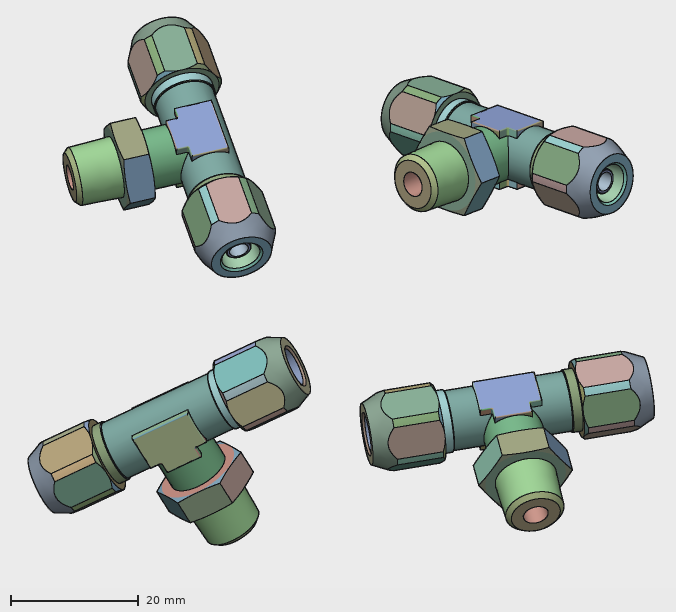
import cadquery as cq
import math


run_half_length = 22.5
pipe_radius = 4.75
collar_radius = 5.0
collar_length = 1.6
collar_chamfer = 0.15
run_bore_radius = 1.55

nut_length = 11.45
nut_across_flats = 12.0
nut_rounded_radius = 6.55
nut_nose_radius = 4.9
nut_nose_length = 3.55
nut_back_chamfer = 0.55

socket_radius = 3.1
socket_depth = 5.4
mouth_chamfer = 0.35
sleeve_setback = 1.5
sleeve_tip_radius = 2.02
sleeve_tip_chamfer = 0.15
sleeve_root_radius = 2.25

hex_across_flats = 13.0
hex_start = 9.45
hex_end = 14.0
hex_face_radius = 6.45
hex_chamfer_angle = 12.0
branch_length = 21.45
thread_root_radius = 4.9
thread_tip_radius = 4.7
thread_chamfer = 0.75
branch_bore_radius = 2.0
drill_point_angle = 118.0

flat_half_height = 4.95
flat_reach = 4.95
flat_arm_half_width = 3.0
flat_edge_fillet = 0.2
flat_inner_corner_radius = 0.22

CIRCUMSCRIBED = 1 / math.cos(math.radians(30))


def revolve_about_x(points):
    return cq.Workplane("XY").polyline(points).close().revolve(360, (0, 0, 0), (1, 0, 0))


def revolve_about_y(points):
    return cq.Workplane("XY").polyline(points).close().revolve(360, (0, 0, 0), (0, 1, 0))


def make_nut():
    """Left-hand nut: a hexagon trimmed to a turned outline with a tapered nose."""
    front = -run_half_length
    back = front + nut_length
    hexagon = (
        cq.Workplane("YZ", origin=(front, 0, 0))
        .polygon(6, nut_across_flats * CIRCUMSCRIBED)
        .extrude(nut_length)
    )
    turned = revolve_about_x([
        (front, 0),
        (front, nut_nose_radius),
        (front + nut_nose_length, nut_rounded_radius),
        (back - nut_back_chamfer, nut_rounded_radius),
        (back, nut_rounded_radius - nut_back_chamfer),
        (back, 0),
    ])
    return hexagon.intersect(turned)


def make_collar():
    """Left-hand collar between nut and pipe."""
    nut_back = -run_half_length + nut_length
    return (
        cq.Workplane("YZ", origin=(nut_back, 0, 0))
        .circle(collar_radius)
        .extrude(collar_length)
        .faces(">X")
        .chamfer(collar_chamfer)
    )


def make_socket():
    """Left-hand annular hose socket, open to the nut face in front of the sleeve."""
    front = -run_half_length
    sleeve_tip = front + sleeve_setback
    floor = front + socket_depth
    return revolve_about_x([
        (front, 0),
        (front, socket_radius + mouth_chamfer),
        (front + mouth_chamfer, socket_radius),
        (floor, socket_radius),
        (floor, sleeve_root_radius),
        (sleeve_tip + sleeve_tip_chamfer, sleeve_tip_radius),
        (sleeve_tip, sleeve_tip_radius - sleeve_tip_chamfer),
        (sleeve_tip, 0),
    ])


def make_branch():
    """Branch neck, wrench hexagon and tapered thread body."""
    neck = cq.Workplane("XZ").circle(pipe_radius).extrude(hex_end)

    corner_diameter = hex_across_flats * CIRCUMSCRIBED
    hexagon = (
        cq.Workplane("XZ", origin=(0, -hex_start, 0))
        .polygon(6, corner_diameter)
        .extrude(hex_end - hex_start)
    )
    corner_radius = corner_diameter / 2
    corner_drop = (corner_radius - hex_face_radius) * math.tan(math.radians(hex_chamfer_angle))
    turned = revolve_about_y([
        (0, -hex_start),
        (hex_face_radius, -hex_start),
        (corner_radius, -hex_start - corner_drop),
        (corner_radius, -hex_end + corner_drop),
        (hex_face_radius, -hex_end),
        (0, -hex_end),
    ])
    thread = revolve_about_y([
        (0, -hex_end),
        (thread_root_radius, -hex_end),
        (thread_tip_radius, -branch_length + thread_chamfer),
        (thread_tip_radius - thread_chamfer, -branch_length),
        (0, -branch_length),
    ])
    return neck.union(hexagon.intersect(turned)).union(thread)


def make_branch_bore():
    """Blind drilled hole crossing the run bore and ending in a drill point."""
    full_bore_end = run_bore_radius
    point_length = branch_bore_radius / math.tan(math.radians(drill_point_angle / 2))
    return revolve_about_y([
        (0, -branch_length),
        (branch_bore_radius, -branch_length),
        (branch_bore_radius, full_bore_end),
        (0, full_bore_end + point_length),
    ])


def make_flats():
    """T-shaped block whose top and bottom stand just proud of the pipes."""
    outline = [
        (-flat_reach, flat_arm_half_width),
        (flat_reach, flat_arm_half_width),
        (flat_reach, -flat_arm_half_width),
        (flat_arm_half_width, -flat_arm_half_width),
        (flat_arm_half_width, -flat_reach),
        (-flat_arm_half_width, -flat_reach),
        (-flat_arm_half_width, -flat_arm_half_width),
        (-flat_reach, -flat_arm_half_width),
    ]
    block = (
        cq.Workplane("XY", origin=(0, 0, -flat_half_height))
        .polyline(outline)
        .close()
        .extrude(2 * flat_half_height)
    )
    for side in (-1, 1):
        inner_corner = (side * flat_arm_half_width, -flat_arm_half_width, 0)
        block = (
            block.edges("|Z")
            .edges(cq.NearestToPointSelector(inner_corner))
            .fillet(flat_inner_corner_radius)
        )
    return block.faces("|Z").edges().fillet(flat_edge_fillet)


def both_ends(left):
    return left.union(left.mirror("YZ"))


pipe_half_length = run_half_length - nut_length
pipe = cq.Workplane("YZ").circle(pipe_radius).extrude(pipe_half_length, both=True)
run_bore = cq.Workplane("YZ").circle(run_bore_radius).extrude(run_half_length, both=True)

result = (
    pipe.union(make_branch())
    .union(make_flats())
    .union(both_ends(make_nut().union(make_collar())))
    .cut(both_ends(make_socket()))
    .cut(run_bore)
    .cut(make_branch_bore())
)